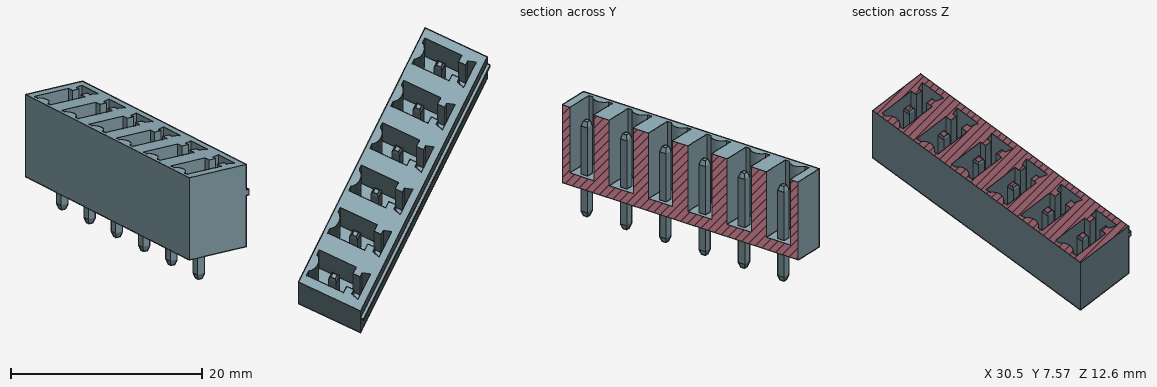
import cadquery as cq

pole_count = 6
body_length = 30.48
body_depth = 7.22
body_height = 9.17
pitch = body_length / pole_count

ridge_projection = 0.35
ridge_bottom = 5.7
ridge_height = 0.65

cavity_floor = 1.5
cavity_half_width = 1.52
cavity_front = 0.45
shoulder_y = 4.75
neck_half_width = 0.75
dovetail_front = 5.58
dovetail_front_half_width = 1.25
dovetail_rear = 6.43
key_half_width = 1.0
key_rise = 0.55

pin_y = 2.93
pin_width = 0.85
pin_depth = 0.88
pin_bottom = -3.4
pin_top = 7.7
tip_length = 0.58
tip_size = 0.5


def make_housing():
    """Plain block with the ridge running the full length of its rear face."""
    block = cq.Workplane("XY").box(body_length, body_depth, body_height, centered=False)
    ridge = (
        cq.Workplane("XY", origin=(0, body_depth, ridge_bottom))
        .box(body_length, ridge_projection, ridge_height, centered=False)
    )
    return block.union(ridge)


def make_cavity(x):
    """Cavity with a dovetail at the rear and a rounded key standing in at the front."""
    return (
        cq.Workplane("XY", origin=(x, 0, cavity_floor))
        .moveTo(-cavity_half_width, cavity_front)
        .lineTo(-key_half_width, cavity_front)
        .threePointArc((0, cavity_front + key_rise), (key_half_width, cavity_front))
        .lineTo(cavity_half_width, cavity_front)
        .lineTo(cavity_half_width, shoulder_y)
        .lineTo(neck_half_width, shoulder_y)
        .lineTo(neck_half_width, dovetail_front)
        .lineTo(dovetail_front_half_width, dovetail_front)
        .lineTo(cavity_half_width, dovetail_rear)
        .lineTo(-cavity_half_width, dovetail_rear)
        .lineTo(-dovetail_front_half_width, dovetail_front)
        .lineTo(-neck_half_width, dovetail_front)
        .lineTo(-neck_half_width, shoulder_y)
        .lineTo(-cavity_half_width, shoulder_y)
        .close()
        .extrude(body_height - cavity_floor)
    )


def make_tip(x, base_z, direction):
    """Pyramid frustum narrowing from base_z; direction is 1 for up, -1 for down."""
    return (
        cq.Workplane("XY", origin=(x, pin_y, base_z))
        .rect(pin_width, pin_depth)
        .workplane(offset=direction * tip_length)
        .rect(tip_size, tip_size)
        .loft(ruled=True)
    )


def make_pin(x):
    """Rectangular pin passing through the cavity floor."""
    shank_bottom = pin_bottom + tip_length
    shank_top = pin_top - tip_length
    shank = (
        cq.Workplane("XY", origin=(x, pin_y, shank_bottom))
        .rect(pin_width, pin_depth)
        .extrude(shank_top - shank_bottom)
    )
    return shank.union(make_tip(x, shank_top, 1)).union(make_tip(x, shank_bottom, -1))


result = make_housing()
for pole in range(pole_count):
    pole_x = (pole + 0.5) * pitch
    result = result.cut(make_cavity(pole_x)).union(make_pin(pole_x))